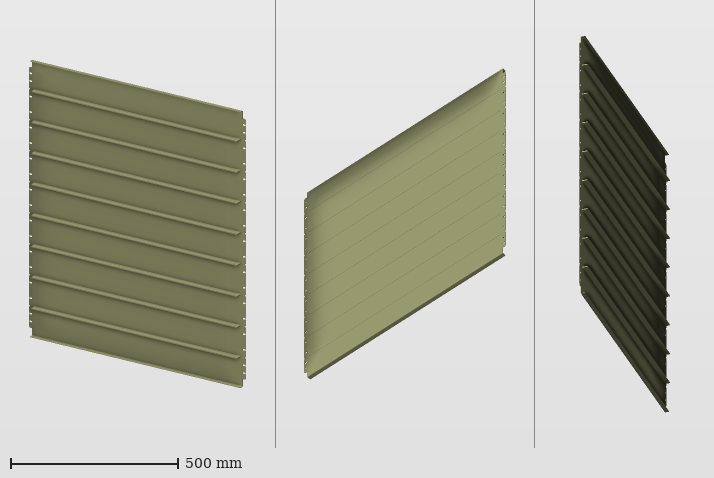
import cadquery as cq
import math

WIDTH = 776.0
HEIGHT = 890.0
DEPTH = 20.0
MIDDLE_PANEL_COUNT = 7
END_PANEL_HEIGHT = 95.0
PITCH = (HEIGHT - 2 * END_PANEL_HEIGHT) / MIDDLE_PANEL_COUNT
BOTTOM_SEAM = -HEIGHT / 2 + END_PANEL_HEIGHT
TOP_SEAM = HEIGHT / 2 - END_PANEL_HEIGHT

SHEET = 1.5
BEND_INNER = SHEET
BEND_OUTER = BEND_INNER + SHEET
BACK_Y = DEPTH / 2
PLATE_FRONT_Y = BACK_Y - SHEET

SEAM_FLANGE_WIDTH = 737.0
SEAM_FLANGE_DEPTH = DEPTH
SEAM_FLANGE_CHAMFER = 1.0

END_FLANGE_WIDTH = 753.0
END_FLANGE_DEPTH = 14.0
END_NOTCH_HEIGHT = 25.0

CORNER_RADIUS = 6.0
SLOT_LENGTH = 11.0
SLOT_HEIGHT = 5.0
SLOT_FROM_SIDE = 6.7
SLOT_STEP = PITCH / 4

UP = 1
DOWN = -1


def sheet_strip(width, z_one, z_other):
    """A flat piece of sheet, centred on X, between two heights given in either order."""
    return (
        cq.Workplane("XY")
        .box(width, SHEET, abs(z_one - z_other))
        .translate((0, BACK_Y - SHEET / 2, (z_one + z_other) / 2))
    )


def bent_flange(edge_z, outward, width, depth):
    """The bend along a panel edge and the flange that it turns towards -Y."""
    centre_y = BACK_Y - BEND_OUTER
    centre_z = edge_z - outward * BEND_OUTER
    inner_z = edge_z - outward * SHEET
    tip_y = BACK_Y - depth

    def bend_middle(radius):
        reach = radius * math.sin(math.radians(45))
        return (centre_y + reach, centre_z + outward * reach)

    return (
        cq.Workplane("YZ")
        .moveTo(BACK_Y, centre_z)
        .threePointArc(bend_middle(BEND_OUTER), (centre_y, edge_z))
        .lineTo(tip_y, edge_z)
        .lineTo(tip_y, inner_z)
        .lineTo(centre_y, inner_z)
        .threePointArc(bend_middle(BEND_INNER), (PLATE_FRONT_Y, centre_z))
        .close()
        .extrude(width / 2, both=True)
    )


def add_seam_flange(body, edge_z, outward):
    """Replaces the middle stretch of a seam edge by a bend and a flange."""
    flat_part = sheet_strip(SEAM_FLANGE_WIDTH, edge_z, edge_z - outward * BEND_OUTER)
    flange = bent_flange(edge_z, outward, SEAM_FLANGE_WIDTH, SEAM_FLANGE_DEPTH)
    flange = flange.edges("|Z and <Y").chamfer(SEAM_FLANGE_CHAMFER)
    return body.cut(flat_part).union(flange)


def add_end_flange(body, edge_z, outward):
    """Extends a notched plate to the outer edge of the wall and bends it there."""
    bend_start = edge_z - outward * BEND_OUTER
    root = edge_z - outward * (END_NOTCH_HEIGHT + CORNER_RADIUS)
    body = body.union(sheet_strip(END_FLANGE_WIDTH, bend_start, root))
    return body.union(bent_flange(edge_z, outward, END_FLANGE_WIDTH, END_FLANGE_DEPTH))


def plate(z_low, z_high, slot_heights):
    """A flat plate with rounded corners and a mounting slot near each side at every slot height."""
    body = sheet_strip(WIDTH, z_low, z_high).edges("|Y").fillet(CORNER_RADIUS)
    slot_x = WIDTH / 2 - SLOT_FROM_SIDE
    slots = (
        cq.Workplane("XZ", origin=(0, BACK_Y, 0))
        .pushPoints([(x, z) for x in (-slot_x, slot_x) for z in slot_heights])
        .slot2D(SLOT_LENGTH, SLOT_HEIGHT)
        .extrude(SHEET)
    )
    return body.cut(slots)


def end_panel(outer_z, seam_z, outward):
    """The top or bottom panel: an end flange on the outer edge and a seam flange on the other."""
    notch_z = outer_z - outward * END_NOTCH_HEIGHT
    slot_heights = [seam_z + outward * steps * SLOT_STEP for steps in (1, 2)]
    body = plate(min(notch_z, seam_z), max(notch_z, seam_z), slot_heights)
    body = add_end_flange(body, outer_z, outward)
    return add_seam_flange(body, seam_z, -outward)


def middle_panel(z_low):
    """A full panel with a seam flange on both edges."""
    z_high = z_low + PITCH
    body = plate(z_low, z_high, [z_low + SLOT_STEP, z_high - SLOT_STEP])
    body = add_seam_flange(body, z_low, DOWN)
    return add_seam_flange(body, z_high, UP)


bottom_panel = end_panel(-HEIGHT / 2, BOTTOM_SEAM, DOWN)
top_panel = end_panel(HEIGHT / 2, TOP_SEAM, UP)

middle_panels = []
for index in range(MIDDLE_PANEL_COUNT):
    middle_panels.append(middle_panel(BOTTOM_SEAM + index * PITCH).val())

result = cq.Compound.makeCompound([bottom_panel.val(), *middle_panels, top_panel.val()])